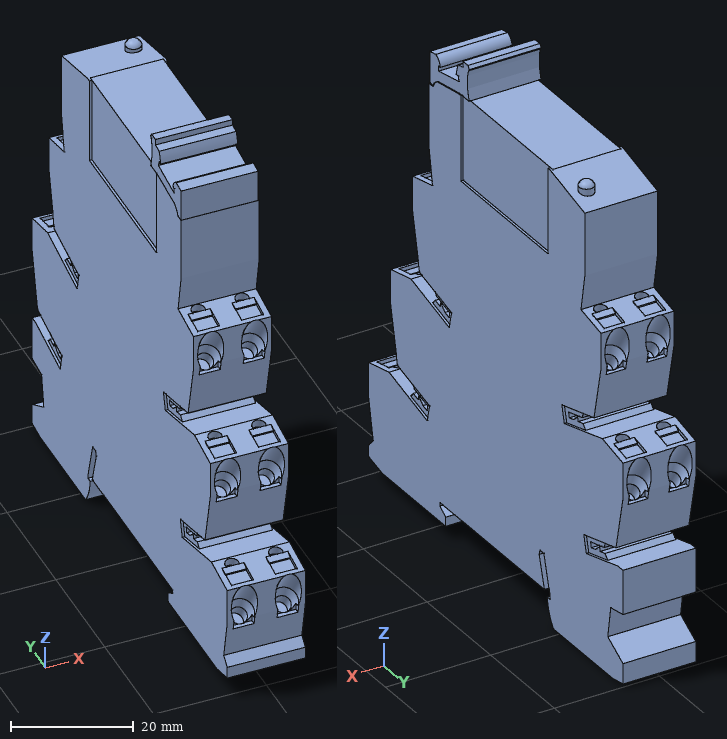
import cadquery as cq
import math

FRONT = -1
BACK = 1

WIDTH = 13.9
DEPTH = 80.0
SKIN = 0.5
CORE_WIDTH = WIDTH - 2 * SKIN

HEAD_REACH = 24.5
HEAD_TOP = 86.0
HEAD_SHOULDER = 83.3
HEAD_FLARE = 71.5
BACK_CREST = 13.7
FRONT_CREST = 15.1
SEAT_ARC_START = (-21.8, 84.9)
SEAT_ARC_MIDDLE = (-22.8, 84.2)
SEAT_ARC_END = (-23.2, HEAD_SHOULDER)

TIER_REACH = 29.6
TIER_STEP_OUT = (DEPTH - 2 * TIER_REACH) / 3
TIER_STEP_DOWN = 21.0
TIER_EDGE = 63.2
FACE_HEIGHT = 6.7
CHIN_DROP = 17.0
LEAN = math.radians(12)
CREST_RUN = 6.5
NECK_RUN = 6.3
BACK_CUT_REACH = TIER_REACH + TIER_STEP_OUT
BACK_CUT_TOP = 22.0
BACK_CUT_FLAT = 35.0

RAIL_SEAT = 6.0
LATCH_NOSE = (12.7, 5.1)
LATCH_ARC_MIDDLE = (13.3, 2.2)
LATCH_ARC_END = (14.6, 0)

CHANNEL_TILT = math.radians(14)
CHANNEL_END = 17.3
CHANNEL_END_HEIGHT = 43.6
CHANNEL_GAP = 3.2
STRIP_LENGTH = 6.2
STRIP_THICKNESS = 1.1
STRIP_BEVEL = 0.65
BARB_START = 2.4
BARB_TIP = 4.0
BARB_HEIGHT = 0.8

TERMINAL_X = 3.9
WIRE_DIP = math.radians(56)
WIRE_RADIUS = 2.3
WIRE_DROP = 4.0
WIRE_DEPTH = 2.7
FUNNEL_LENGTH = 1.7
CORE_HOLE_RADIUS = 1.5
CORE_HOLE_DEPTH = 2.8
SILL_WIDTH = 3.7
SILL_TOP = 6.5
SILL_BOTTOM = 8.3
SILL_DEPTH = 1.2
WIRE_RUN_IN = 7.4
BUTTON_WIDTH = 3.9
BUTTON_START = 0.8
BUTTON_END = 3.7
BUTTON_DEPTH = 0.65
RAMP_END = 4.8
RAMP_DEPTH = 0.4
TOOL_HOLE_WIDTH = 2.2
TOOL_HOLE_END = 6.4
TOOL_HOLE_DEPTH = 1.7

RELAY_BACK = BACK_CREST
WINDOW_BACK = 13.0
RELAY_FRONT = -14.4
RELAY_BOTTOM = 69.9

LEVER_WIDTH = 13.7
LEVER_BACK = -12.1

LAMP_X = 3.9
LAMP_Y = 20.0
LAMP_RADIUS = 1.4
LAMP_RIM = 85.5
LAMP_TOP = 86.5


def tier_edge(tier):
    """Reach and height of a tier's upper outer edge."""
    return TIER_REACH + tier * TIER_STEP_OUT, TIER_EDGE - tier * TIER_STEP_DOWN


def channel_point(channel, along, across):
    """Reach and height of a point given along and across a marker channel."""
    reach = CHANNEL_END + channel * TIER_STEP_OUT
    height = CHANNEL_END_HEIGHT - channel * TIER_STEP_DOWN
    return (
        reach + along * math.cos(CHANNEL_TILT) + across * math.sin(CHANNEL_TILT),
        height + along * math.sin(CHANNEL_TILT) - across * math.cos(CHANNEL_TILT),
    )


def tier_top_point(tier, along, depth):
    """Reach and height of a point given inward along a tier's top and below it."""
    reach, height = tier_edge(tier)
    return (
        reach - along * math.cos(LEAN) - depth * math.sin(LEAN),
        height + along * math.sin(LEAN) - depth * math.cos(LEAN),
    )


def prism(side, points, width):
    """Extrude an outline of (reach, height) points across the middle of the housing."""
    outline = [(side * reach, height) for reach, height in points]
    return cq.Workplane("YZ").polyline(outline).close().extrude(width / 2, both=True)


def tier_outline(tier):
    """Points of a tier from its upper outer edge down to its underside."""
    reach, edge = tier_edge(tier)
    face_end = edge - FACE_HEIGHT
    chin = edge - CHIN_DROP
    return [
        (reach, edge),
        (reach, face_end),
        (reach - (face_end - chin) * math.tan(LEAN), chin),
    ]


def channel_outline(channel):
    """The two inner corners of a marker channel."""
    return [channel_point(channel, 0, 0), channel_point(channel, 0, CHANNEL_GAP)]


def tier_crest(tier):
    """Reach and height of the highest line of a tier's top."""
    reach, edge = tier_edge(tier)
    return reach - CREST_RUN, edge + CREST_RUN * math.tan(LEAN)


def steps_outline():
    """Points shared by both ends, from the head down to the channel over the lowest tier."""
    neck = (TIER_REACH - NECK_RUN, TIER_EDGE + NECK_RUN * math.tan(LEAN))
    return [
        (HEAD_REACH, HEAD_FLARE),
        neck,
        *tier_outline(0),
        *channel_outline(0),
        tier_crest(1),
        *tier_outline(1),
        *channel_outline(1),
    ]


def housing_blank():
    """Full-width block with the stepped outline, the lever seat and the rail foot."""
    low_reach, low_edge = tier_edge(2)
    front = [
        (HEAD_REACH, HEAD_SHOULDER),
        *steps_outline(),
        tier_crest(2),
        (low_reach, low_edge),
        (low_reach, low_edge - FACE_HEIGHT),
        (42.0, 7.1),
        (low_reach, 5.65),
        (low_reach, 3.4),
        (39.1, 2.4),
        (19.2, 2.4),
        (19.2, 4.2),
        (21.0, 5.4),
        (21.0, RAIL_SEAT),
    ]
    latch_slot = [
        (11.85, RAIL_SEAT),
        (10.2, 11.85),
        (10.5, 12.8),
        (11.7, 12.8),
        (13.4, 6.4),
        (13.6, 5.1),
        LATCH_NOSE,
    ]
    back = [
        (33.2, 0),
        (BACK_CUT_REACH, 0.6),
        (BACK_CUT_REACH, 4.4),
        (31.8, 7.1),
        (32.7, 13.1),
        (BACK_CUT_REACH, 13.7),
        (BACK_CUT_REACH, BACK_CUT_TOP),
        (BACK_CUT_FLAT, BACK_CUT_TOP),
        *reversed(steps_outline()),
        (HEAD_REACH, HEAD_SHOULDER),
        (BACK_CREST, HEAD_TOP),
    ]
    front_points = [(FRONT * reach, height) for reach, height in front]
    return (
        cq.Workplane("YZ")
        .moveTo(-FRONT_CREST, HEAD_TOP)
        .lineTo(*SEAT_ARC_START)
        .threePointArc(SEAT_ARC_MIDDLE, SEAT_ARC_END)
        .polyline(front_points + latch_slot, includeCurrent=True)
        .threePointArc(LATCH_ARC_MIDDLE, LATCH_ARC_END)
        .polyline(back, includeCurrent=True)
        .close()
        .extrude(WIDTH / 2, both=True)
    )


def channel_lining(side, channel):
    """U-shaped lining of a channel, set in from both sides, with a barb on its lower strip."""
    lower = CHANNEL_GAP - STRIP_THICKNESS
    corners = [
        (0, 0),
        (STRIP_LENGTH, 0),
        (STRIP_LENGTH - STRIP_BEVEL, STRIP_THICKNESS),
        (STRIP_THICKNESS, STRIP_THICKNESS),
        (STRIP_THICKNESS, lower),
        (BARB_START, lower),
        (BARB_TIP, lower - BARB_HEIGHT),
        (BARB_TIP, lower),
        (STRIP_LENGTH - STRIP_BEVEL, lower),
        (STRIP_LENGTH, CHANNEL_GAP),
        (0, CHANNEL_GAP),
    ]
    return prism(side, [channel_point(channel, *corner) for corner in corners], CORE_WIDTH)


def wire_entry(side, tier, x):
    """Stepped bore that dips into a tier's outer face: bore, funnel and core hole."""
    reach, edge = tier_edge(tier)
    mouth = cq.Vector(x, side * reach, edge - WIRE_DROP)
    inward = cq.Vector(0, -side * math.cos(WIRE_DIP), -math.sin(WIRE_DIP))
    funnel_start = mouth + inward * WIRE_DEPTH
    funnel_end = funnel_start + inward * FUNNEL_LENGTH
    bore = cq.Solid.makeCylinder(
        WIRE_RADIUS, WIRE_RUN_IN + WIRE_DEPTH, mouth - inward * WIRE_RUN_IN, inward
    )
    funnel = cq.Solid.makeCone(WIRE_RADIUS, CORE_HOLE_RADIUS, FUNNEL_LENGTH, funnel_start, inward)
    core_hole = cq.Solid.makeCylinder(CORE_HOLE_RADIUS, CORE_HOLE_DEPTH, funnel_end, inward)
    return (
        cq.Workplane(bore)
        .union(cq.Workplane(funnel))
        .union(cq.Workplane(core_hole))
        .union(wire_sill(side, tier).translate((x, 0, 0)))
    )


def wire_sill(side, tier):
    """Relief that gives the lower lip of a wire entry its straight edge."""
    reach, edge = tier_edge(tier)
    section = [
        (reach, edge - SILL_TOP),
        (reach, edge - SILL_BOTTOM),
        (reach - SILL_DEPTH, edge - SILL_BOTTOM),
        (reach - SILL_DEPTH, edge - SILL_TOP),
    ]
    return prism(side, section, SILL_WIDTH)


def button_recess(side, tier, x):
    """Shallow recess in a tier's top with a ramp at its inner end."""
    corners = [
        (BUTTON_START, 0),
        (BUTTON_START, BUTTON_DEPTH),
        (BUTTON_END, BUTTON_DEPTH),
        (BUTTON_END, RAMP_DEPTH),
        (RAMP_END, 0),
    ]
    section = [tier_top_point(tier, *corner) for corner in corners]
    return prism(side, section, BUTTON_WIDTH).translate((x, 0, 0))


def tool_hole(side, tier, x):
    """Blind hole behind the ramp, round at its inner side and flat at the ramp."""
    reach, height = tier_edge(tier)
    top = cq.Plane(
        origin=(x, side * reach, height),
        xDir=(0, -side * math.cos(LEAN), math.sin(LEAN)),
        normal=(0, side * math.sin(LEAN), math.cos(LEAN)),
    )
    half = TOOL_HOLE_WIDTH / 2
    return (
        cq.Workplane(top)
        .moveTo(RAMP_END, -half)
        .threePointArc((TOOL_HOLE_END, 0), (RAMP_END, half))
        .close()
        .extrude(-TOOL_HOLE_DEPTH)
    )


def make_housing():
    """Housing with its channel linings, terminals and relay pocket."""
    housing = housing_blank()
    for side in (FRONT, BACK):
        for channel in (0, 1):
            housing = housing.union(channel_lining(side, channel))
    for side, tiers in ((FRONT, (0, 1, 2)), (BACK, (0, 1))):
        for tier in tiers:
            for x in (-TERMINAL_X, TERMINAL_X):
                housing = housing.cut(wire_entry(side, tier, x))
                housing = housing.cut(button_recess(side, tier, x))
                housing = housing.cut(tool_hole(side, tier, x))
    side_openings = relay_block(WIDTH, WINDOW_BACK)
    return housing.cut(side_openings).cut(make_relay())


def relay_block(width, back):
    """Block from the front face of the relay to a given back face."""
    return (
        cq.Workplane("XY", origin=(0, (back + RELAY_FRONT) / 2, RELAY_BOTTOM))
        .rect(width, back - RELAY_FRONT)
        .extrude(HEAD_TOP - RELAY_BOTTOM)
    )


def make_relay():
    """Plug-in relay, flush with the top of the head."""
    return relay_block(CORE_WIDTH, RELAY_BACK)


def make_lever():
    """Lever over the front end of the head: finger grip, saddle and front post."""
    return (
        cq.Workplane("YZ", origin=(-WIDTH / 2, 0, 0))
        .moveTo(LEVER_BACK, HEAD_TOP)
        .lineTo(-FRONT_CREST, HEAD_TOP)
        .lineTo(*SEAT_ARC_START)
        .threePointArc(SEAT_ARC_MIDDLE, SEAT_ARC_END)
        .lineTo(-HEAD_REACH, HEAD_SHOULDER)
        .lineTo(-HEAD_REACH, 89.3)
        .lineTo(-22.6, 89.6)
        .threePointArc((-21.7, 89.0), (-21.2, 87.9))
        .lineTo(-21.8, 87.9)
        .lineTo(-21.7, 86.95)
        .lineTo(-15.3, 88.2)
        .lineTo(-15.6, 89.1)
        .lineTo(-16.2, 89.1)
        .threePointArc((-15.9, 90.2), (-15.6, 91.2))
        .lineTo(-14.1, 91.5)
        .lineTo(-14.1, 92.6)
        .lineTo(-12.5, 92.6)
        .lineTo(-12.0, 92.0)
        .lineTo(-12.3, 91.7)
        .lineTo(-12.6, 90.6)
        .lineTo(-12.6, 88.1)
        .close()
        .extrude(LEVER_WIDTH)
    )


def make_lamp():
    """Domed lamp standing on the back roof slope."""
    dome_rise = LAMP_TOP - LAMP_RIM
    stem = HEAD_SHOULDER - LAMP_RIM
    body = (
        cq.Workplane("XZ", origin=(LAMP_X, LAMP_Y, LAMP_RIM))
        .moveTo(0, stem)
        .lineTo(LAMP_RADIUS, stem)
        .lineTo(LAMP_RADIUS, 0)
        .threePointArc(dome_point(dome_rise), (0, dome_rise))
        .close()
        .revolve(360, (0, 0, 0), (0, 1, 0))
    )
    return body.cut(housing_blank())


def dome_point(rise):
    """Point halfway up the arc of the lamp's dome."""
    sphere = (LAMP_RADIUS ** 2 + rise ** 2) / (2 * rise)
    half_angle = math.asin(LAMP_RADIUS / sphere) / 2
    return sphere * math.sin(half_angle), rise - sphere + sphere * math.cos(half_angle)


housing = make_housing()
relay = make_relay()
lever = make_lever()
lamp = make_lamp()

result = cq.Compound.makeCompound([housing.val(), relay.val(), lever.val(), lamp.val()])